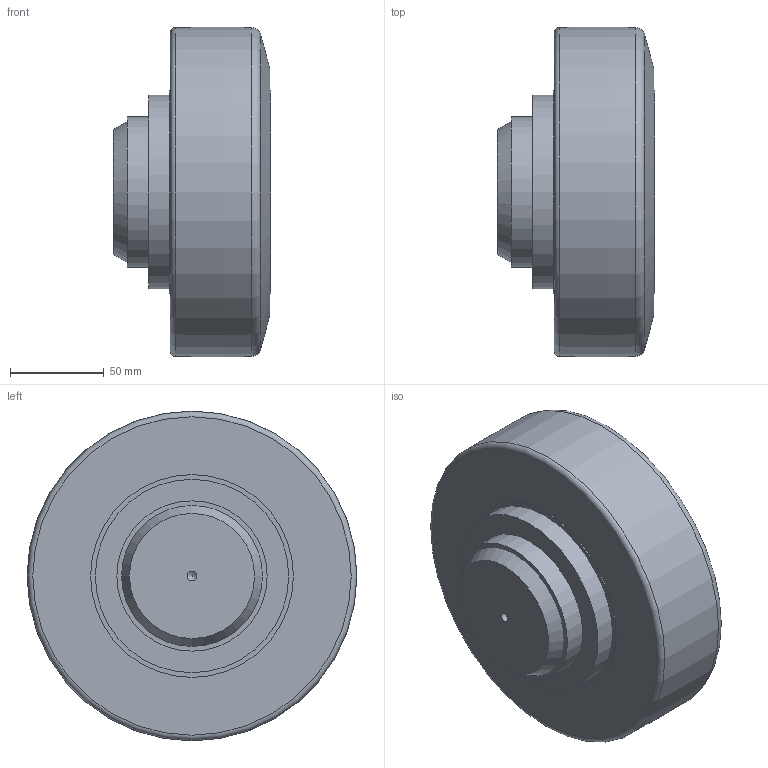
import cadquery as cq
import math


nose_tip_radius = 33.3
nose_base_radius = 37.5
nose_length = 7.5
neck_radius = 40.0
neck_end = 19.0
shoulder_radius = 51.5

hub_radius = 54.0
hub_start = 30.0
hub_end = 84.0
hub_step = 0.5

roller_radius = 87.83
crown_height = 0.25
tread_radius = roller_radius - crown_height
front_fillet = 2.8
back_fillet = 5.0
back_fillet_start = 73.7
back_cone_angle = math.radians(15)

hole_radius = 2.5
hole_depth = 10.0
drill_point_angle = math.radians(118)


def make_pin():
    """Pin with a conical nose, a neck and a shoulder, reaching through to the hub's back face."""
    profile = (
        cq.Workplane("XY")
        .moveTo(0, 0)
        .lineTo(0, nose_tip_radius)
        .lineTo(nose_length, nose_base_radius)
        .lineTo(nose_length, neck_radius)
        .lineTo(neck_end, neck_radius)
        .lineTo(neck_end, shoulder_radius)
        .lineTo(hub_start, shoulder_radius)
        .lineTo(hub_start, hub_radius)
        .lineTo(hub_end, hub_radius)
        .lineTo(hub_end, 0)
        .close()
    )
    return profile.revolve(360, (0, 0, 0), (1, 0, 0))


def make_roller():
    """Roller ring: rounded front rim, crowned tread, rounded back rim running into a cone."""
    front = hub_start + hub_step
    back = hub_end - hub_step
    tread_start = front + front_fillet
    tread_middle = (tread_start + back_fillet_start) / 2

    front_sagitta = front_fillet * (1 - math.cos(math.pi / 4))

    back_centre_radius = tread_radius - back_fillet
    cone_start = back_fillet_start + back_fillet * math.cos(back_cone_angle)
    cone_start_radius = back_centre_radius + back_fillet * math.sin(back_cone_angle)
    middle_angle = (math.pi / 2 + back_cone_angle) / 2
    back_arc_middle = (
        back_fillet_start + back_fillet * math.cos(middle_angle),
        back_centre_radius + back_fillet * math.sin(middle_angle),
    )
    cone_end_radius = cone_start_radius - (back - cone_start) / math.tan(back_cone_angle)

    profile = (
        cq.Workplane("XY")
        .moveTo(front, 0)
        .lineTo(front, tread_radius - front_fillet)
        .threePointArc(
            (front + front_sagitta, tread_radius - front_sagitta),
            (tread_start, tread_radius),
        )
        .threePointArc(
            (tread_middle, roller_radius),
            (back_fillet_start, tread_radius),
        )
        .threePointArc(back_arc_middle, (cone_start, cone_start_radius))
        .lineTo(back, cone_end_radius)
        .lineTo(back, 0)
        .close()
    )
    return profile.revolve(360, (0, 0, 0), (1, 0, 0))


def make_hole():
    """Cutter for the central hole in the end of the nose."""
    point_length = hole_radius / math.tan(drill_point_angle / 2)
    profile = (
        cq.Workplane("XY")
        .moveTo(0, 0)
        .lineTo(0, hole_radius)
        .lineTo(hole_depth, hole_radius)
        .lineTo(hole_depth + point_length, 0)
        .close()
    )
    return profile.revolve(360, (0, 0, 0), (1, 0, 0))


result = make_pin().union(make_roller()).cut(make_hole())